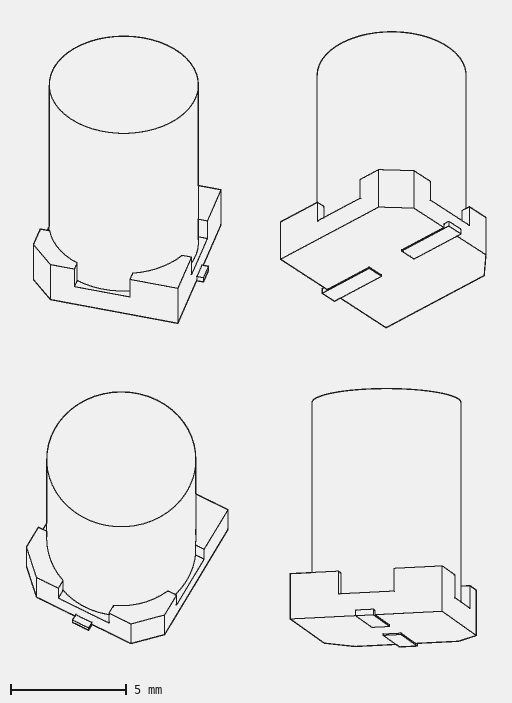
import cadquery as cq

total_height = 10.06
lead_span = 7.39

base_size = 6.81
base_height = 2.0
base_clearance = 0.06
notch_width = 2.49
notch_depth = base_height / 2
post_size = (base_size - notch_width) / 2
corner_chamfer = post_size / 2

can_diameter = 6.46

lead_gap = 1.89
lead_width = 0.79
lead_thickness = 0.25
lead_length = (lead_span - lead_gap) / 2

base_top = base_clearance + base_height
seat_level = base_top - notch_depth


def make_can():
    """Plain cylinder standing on the seat of the base."""
    can_height = total_height - seat_level
    return cq.Workplane("XY", origin=(0, 0, seat_level)).circle(can_diameter / 2).extrude(can_height)


def make_lead(side):
    """Flat strip along X; side is -1 for the -X lead and +1 for the +X lead."""
    center_x = side * (lead_gap + lead_length) / 2
    return (
        cq.Workplane("XY", origin=(center_x, 0, 0))
        .rect(lead_length, lead_width)
        .extrude(lead_thickness)
    )


def make_base(can, leads):
    """Base block with crossing notches, a round can seat and slots for the leads."""
    base = (
        cq.Workplane("XY", origin=(0, 0, base_clearance))
        .rect(base_size, base_size)
        .extrude(base_height)
        .edges("|Z and <X")
        .chamfer(corner_chamfer)
    )
    notch_plane = cq.Workplane("XY", origin=(0, 0, seat_level))
    notch_along_x = notch_plane.rect(base_size, notch_width).extrude(notch_depth)
    notch_along_y = notch_plane.rect(notch_width, base_size).extrude(notch_depth)
    base = base.cut(notch_along_x).cut(notch_along_y)

    base = base.cut(can)
    for lead in leads:
        base = base.cut(lead)
    return base


can = make_can()
leads = [make_lead(side) for side in (-1, 1)]
base = make_base(can, leads)

result = cq.Compound.makeCompound([base.solids().val(), can.val(), *[lead.val() for lead in leads]])